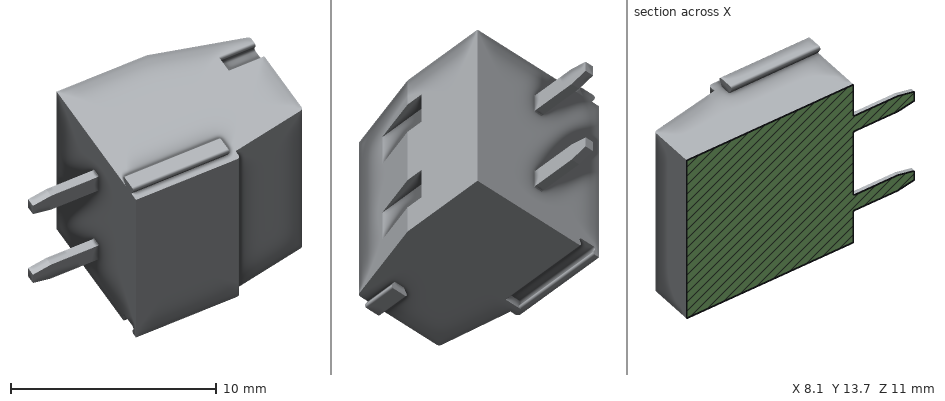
import cadquery as cq

POLES = 2
PITCH = 5.0
WIDTH = 8.1
LENGTH = 10.0
HEIGHT = POLES * PITCH
POLE_HEIGHTS = [PITCH * (pole + 0.5) for pole in range(POLES)]

LEFT_SLOPE_START = 5.0
LEFT_SLOPE_RUN = 1.35
STEP_Y = 5.8
STEP_WIDTH = 0.5
RIGHT_SLOPE_RUN = 0.85
CORNER_RADIUS = 0.2

DOVETAIL_DEPTH = 0.5
RAIL_TIP_WIDTH = 1.2
RAIL_NECK_WIDTH = 0.6
RAIL_TIP_RADIUS = 0.13
GROOVE_FLOOR_WIDTH = 1.24
GROOVE_MOUTH_WIDTH = 0.62
GROOVE_FLOOR_RADIUS = 0.13
GROOVE_LIP_RADIUS = 0.13
LONG_DOVETAIL_X = 7.32
LONG_DOVETAIL_LENGTH = 5.33
SHORT_DOVETAIL_X = 2.31
SHORT_RAIL_LENGTH = 1.93
SHORT_GROOVE_LENGTH = 1.97

WINDOW_START_Y = 4.0
WINDOW_END_Y = 7.53
WINDOW_HEIGHT = 1.8
WINDOW_DEPTH = 0.7

PIN_X = WIDTH / 2
PIN_THICKNESS = 0.5
PIN_HEIGHT = 1.0
PIN_LENGTH = 3.65
PIN_TAPER_LENGTH = 1.0
PIN_TIP_HEIGHT = 0.6
PIN_ROOT_HEIGHT = 1.1
PIN_FLARE_LENGTH = 0.05


def make_housing():
    step_x = WIDTH - STEP_WIDTH
    outline = [
        (0, 0),
        (WIDTH, 0),
        (WIDTH, STEP_Y),
        (step_x, STEP_Y),
        (step_x - RIGHT_SLOPE_RUN, LENGTH),
        (LEFT_SLOPE_RUN, LENGTH),
        (0, LEFT_SLOPE_START),
    ]
    housing = cq.Workplane("XY").polyline(outline).close().extrude(HEIGHT)
    housing = housing.faces(">Y").edges("|Z").fillet(CORNER_RADIUS)
    step_corner = cq.selectors.NearestToPointSelector((WIDTH, STEP_Y, HEIGHT / 2))
    return housing.edges(step_corner).fillet(CORNER_RADIUS)


def dovetail_bar(neck_width, tip_width, start_y, length, neck_z, direction):
    """Trapezoidal bar along Y that widens from neck_z towards +Z (1) or -Z (-1)."""
    tip_z = neck_z + direction * DOVETAIL_DEPTH
    profile = [
        (-neck_width / 2, neck_z),
        (neck_width / 2, neck_z),
        (tip_width / 2, tip_z),
        (-tip_width / 2, tip_z),
    ]
    plane = cq.Workplane("XZ", origin=(0, start_y, 0))
    return plane.polyline(profile).close().extrude(-length)


def make_rail(center_x, start_y, length, neck_z, direction):
    rail = dovetail_bar(RAIL_NECK_WIDTH, RAIL_TIP_WIDTH, start_y, length, neck_z, direction)
    tip_face = ">Z" if direction > 0 else "<Z"
    rail = rail.faces(tip_face).edges("|Y").fillet(RAIL_TIP_RADIUS)
    return rail.translate((center_x, 0, 0))


def cut_groove(body, center_x, start_y, length, mouth_z, direction):
    groove = dovetail_bar(
        GROOVE_MOUTH_WIDTH, GROOVE_FLOOR_WIDTH, start_y, length, mouth_z, direction
    )
    floor_face = ">Z" if direction > 0 else "<Z"
    groove = groove.faces(floor_face).edges("|Y").fillet(GROOVE_FLOOR_RADIUS)
    body = body.cut(groove.translate((center_x, 0, 0)))
    for side in (-1, 1):
        lip_point = (center_x + side * GROOVE_MOUTH_WIDTH / 2, start_y + length / 2, mouth_z)
        lip_edge = cq.selectors.NearestToPointSelector(lip_point)
        body = body.edges(lip_edge).fillet(GROOVE_LIP_RADIUS)
    return body


def make_window(center_z):
    length = WINDOW_END_Y - WINDOW_START_Y
    window = cq.Workplane("XY").box(WINDOW_DEPTH, length, WINDOW_HEIGHT, centered=(False, False, True))
    return window.translate((0, WINDOW_START_Y, center_z))


def make_pin(center_z):
    """Flat pin that flares slightly at its root and tapers in height at the free end."""
    taper_y = PIN_TAPER_LENGTH - PIN_LENGTH
    upper_edge = [
        (0, PIN_ROOT_HEIGHT / 2),
        (-PIN_FLARE_LENGTH, PIN_HEIGHT / 2),
        (taper_y, PIN_HEIGHT / 2),
        (-PIN_LENGTH, PIN_TIP_HEIGHT / 2),
    ]
    lower_edge = [(y, -z) for y, z in reversed(upper_edge)]
    profile = upper_edge + lower_edge
    pin = cq.Workplane("YZ").polyline(profile).close().extrude(PIN_THICKNESS / 2, both=True)
    return pin.translate((PIN_X, 0, center_z))


result = make_housing()

result = cut_groove(
    result, SHORT_DOVETAIL_X, LENGTH - SHORT_GROOVE_LENGTH, SHORT_GROOVE_LENGTH, HEIGHT, -1
)
result = cut_groove(result, LONG_DOVETAIL_X, 0, LONG_DOVETAIL_LENGTH, 0, 1)

result = result.union(make_rail(LONG_DOVETAIL_X, 0, LONG_DOVETAIL_LENGTH, HEIGHT, 1))
result = result.union(
    make_rail(SHORT_DOVETAIL_X, LENGTH - SHORT_RAIL_LENGTH, SHORT_RAIL_LENGTH, 0, -1)
)

for pole_z in POLE_HEIGHTS:
    result = result.cut(make_window(pole_z))
    result = result.union(make_pin(pole_z))